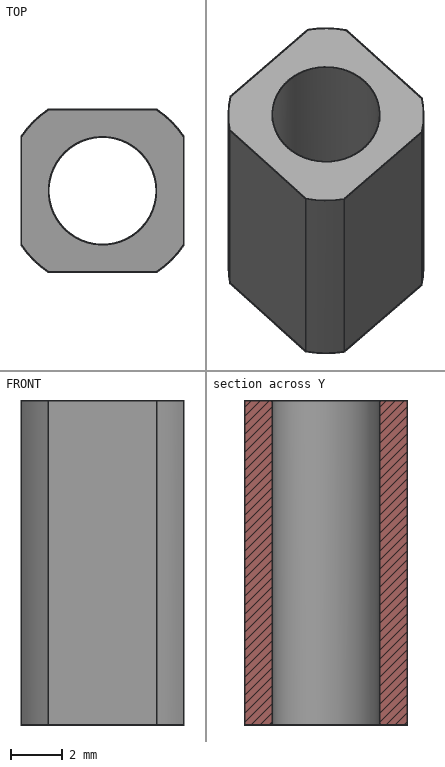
import cadquery as cq

length = 12.7
across_flats = 6.36
corner_diameter = 7.65
bore_diameter = 4.2

square_bar = cq.Workplane("XY").rect(across_flats, across_flats).extrude(length)
turned_envelope = cq.Workplane("XY").circle(corner_diameter / 2).extrude(length)
bore = cq.Workplane("XY").circle(bore_diameter / 2).extrude(length)

result = square_bar.intersect(turned_envelope).cut(bore)